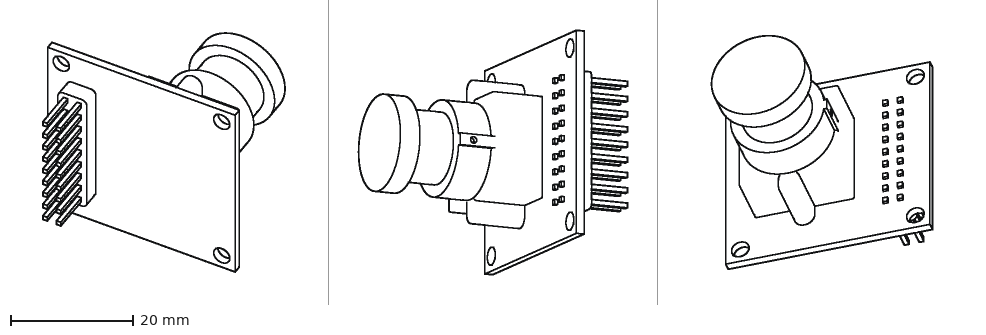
import cadquery as cq


BOARD_WIDTH = 35.0
BOARD_HEIGHT = 34.0
BOARD_THICKNESS = 1.45
HOLE_DIAMETER = 3.0
HOLE_INSET = 2.5

HEADER_X = -11.2
HEADER_Z = -0.2
HEADER_WIDTH = 5.42
HEADER_HEIGHT = 23.03
HEADER_DEPTH = 3.03
HEADER_CORNER_RADIUS = 1.0
PIN_COLUMNS = 2
PIN_ROWS = 9
PIN_PITCH = 2.55
PIN_SIDE = 0.8
PIN_FRONT_REACH = 10.0
PIN_BACK_REACH = 0.5

LENS_X = 4.0
HOUSING_SIDE = 17.0
HOUSING_DEPTH = 9.0
HOUSING_EDGE_RADIUS = 0.37
EAR_SPAN = 24.0
EAR_WIDTH = 3.5

BARREL_DIAMETER = 16.0
BARREL_LENGTH = 5.9
NECK_DIAMETER = 12.0
NECK_LENGTH = 7.0
RIM_DIAMETER = BARREL_DIAMETER
RIM_LENGTH = 3.55

KEY_WIDTH = 1.95
KEY_HOLE_DIAMETER = 1.07
KEY_HOLE_SETBACK = 2.47
KEY_HOLE_DEPTH = 1.0

HOUSING_END = BOARD_THICKNESS + HOUSING_DEPTH
BARREL_END = HOUSING_END + BARREL_LENGTH
NECK_END = BARREL_END + NECK_LENGTH


def plane_at(y, x=0, z=0):
    """Sketch plane parallel to the board: local x is X, local y is Z, and the normal is -Y."""
    return cq.Workplane("XZ", origin=(x, y, z))


def make_board():
    board = plane_at(0).rect(BOARD_WIDTH, BOARD_HEIGHT).extrude(-BOARD_THICKNESS)
    holes = (
        plane_at(0)
        .rect(BOARD_WIDTH - 2 * HOLE_INSET, BOARD_HEIGHT - 2 * HOLE_INSET, forConstruction=True)
        .vertices()
        .circle(HOLE_DIAMETER / 2)
        .extrude(-BOARD_THICKNESS)
    )
    return board.cut(holes)


def make_header():
    body = (
        plane_at(0, HEADER_X, HEADER_Z)
        .rect(HEADER_WIDTH, HEADER_HEIGHT)
        .extrude(HEADER_DEPTH)
        .edges("|Y")
        .fillet(HEADER_CORNER_RADIUS)
    )
    pins = (
        plane_at(-PIN_FRONT_REACH, HEADER_X, HEADER_Z)
        .rarray(PIN_PITCH, PIN_PITCH, PIN_COLUMNS, PIN_ROWS)
        .rect(PIN_SIDE, PIN_SIDE)
        .extrude(-(PIN_FRONT_REACH + BOARD_THICKNESS + PIN_BACK_REACH))
    )
    return body.union(pins)


def make_housing():
    box = (
        plane_at(BOARD_THICKNESS, LENS_X)
        .rect(HOUSING_SIDE, HOUSING_SIDE)
        .extrude(-HOUSING_DEPTH)
        .edges("|Y")
        .fillet(HOUSING_EDGE_RADIUS)
    )
    ears = plane_at(BOARD_THICKNESS, LENS_X).slot2D(EAR_SPAN, EAR_WIDTH, 90).extrude(-HOUSING_DEPTH)
    return box.union(ears).faces(">Y").edges().fillet(HOUSING_EDGE_RADIUS)


def make_lens():
    barrel = plane_at(HOUSING_END, LENS_X).circle(BARREL_DIAMETER / 2).extrude(-BARREL_LENGTH)
    neck = plane_at(BARREL_END, LENS_X).circle(NECK_DIAMETER / 2).extrude(-NECK_LENGTH)
    rim = plane_at(NECK_END, LENS_X).circle(RIM_DIAMETER / 2).extrude(-RIM_LENGTH)
    return barrel.union(neck).union(rim)


def make_key():
    """Flat key from the barrel axis out to the housing's -X face, rooted in the housing edge."""
    reach = HOUSING_SIDE / 2
    length = BARREL_LENGTH + HOUSING_EDGE_RADIUS
    return (
        plane_at(BARREL_END, LENS_X - reach / 2)
        .rect(reach, KEY_WIDTH)
        .extrude(length)
    )


def make_key_hole():
    face_x = LENS_X - HOUSING_SIDE / 2
    return (
        cq.Workplane("YZ", origin=(face_x, BARREL_END - KEY_HOLE_SETBACK, 0))
        .circle(KEY_HOLE_DIAMETER / 2)
        .extrude(KEY_HOLE_DEPTH)
    )


result = (
    make_board()
    .union(make_header())
    .union(make_housing())
    .union(make_lens())
    .union(make_key())
    .cut(make_key_hole())
)